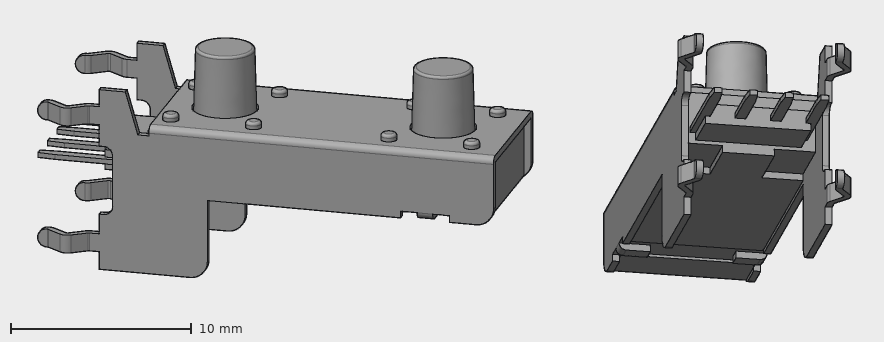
import cadquery as cq
import math

sheet = 0.4
length = 26.38
frame_width = 8.35
roof_top = 8.65
roof_start = 6.62
wall_start = 3.77
wall_bottom = 4.62
leg_end = 9.97
corner_radius = 1.0
half_width = frame_width / 2
inner_half_width = half_width - sheet
roof_bottom = roof_top - sheet

ear_top = 10.55
ear_top_end = 5.28
ear_foot = 6.0
relief_z = 8.1

notch_bottom = 3.25
notch_top = 7.23
notch_depth = 0.77
notch_radius = 0.5

clip_heights = (1.55, 9.02)
clip_width = 1.05
clip_tip = 0.25
clip_bend_start = 0.85
clip_bend_end = 3.17
clip_slope = 0.7
clip_peak_radius = 0.53
clip_foot_radius = 0.13

tab_x = 22.45
tab_width = 0.9
tab_reach = 1.37
window_width = 2.8

body_start = 6.45
body_end = 25.98
body_bottom = 4.85
recess_start = 21.24
recess_end = 23.4
step_width = 2.32
step_height = 0.4

block_width = 5.95
block_height = 1.15
pin_z = 6.05
pin_pitch = 2.0
pin_count = 4
pin_width = 0.6
pin_tip_width = 0.45
pin_thickness = 0.3
pin_taper_length = 1.0

button_centers = (9.87, 22.37)
button_top = 12.2
button_base_diameter = 3.5
button_top_diameter = 3.3
button_edge_radius = 0.15
button_hole_diameter = 3.7
rivet_diameter = 0.9
rivet_height = 0.4
rivet_edge_radius = 0.18
rivet_spacing_x = 4.75
rivet_spacing_y = 5.5


def box(x0, x1, y0, y1, z0, z1):
    """Box between two corners."""
    return cq.Workplane("XY").box(x1 - x0, y1 - y0, z1 - z0, centered=False).translate((x0, y0, z0))


def mirrored_pair(shape):
    """Shape together with its mirror image across the middle plane."""
    return shape.union(shape.mirror("XZ"))


def edge_at(solid, direction, point):
    """The edge along the given direction whose middle is nearest to the point."""
    return solid.edges(direction).edges(cq.selectors.NearestToPointSelector(point))


def side_wall():
    """Wall on the -Y side with its leg, ear, front notch and window for the tab."""
    plane = cq.Workplane("XZ", origin=(0, -inner_half_width, 0))
    lower_outline = [
        (wall_start, 0),
        (leg_end, 0),
        (leg_end, wall_bottom),
        (length, wall_bottom),
        (length, relief_z),
        (wall_start, relief_z),
    ]
    ear_outline = [
        (wall_start, relief_z),
        (ear_foot, relief_z),
        (ear_top_end, ear_top),
        (wall_start, ear_top),
    ]
    wall = plane.polyline(lower_outline).close().extrude(sheet)
    wall_middle = sheet / 2 - half_width
    for x, z in ((leg_end, 0), (length, wall_bottom)):
        wall = edge_at(wall, "|Y", (x, wall_middle, z)).fillet(corner_radius)
    ear = plane.polyline(ear_outline).close().extrude(sheet)
    notch = box(wall_start - notch_depth, wall_start + notch_depth,
                -half_width, -inner_half_width, notch_bottom, notch_top)
    notch = notch.edges("|Y and >X").fillet(notch_radius)
    window = box(tab_x - window_width / 2, tab_x + window_width / 2,
                 -half_width, -inner_half_width, wall_bottom, wall_bottom + sheet)
    return wall.union(ear).cut(notch).cut(window)


def clip(z):
    """Spring clip of constant thickness with a rounded outward bump and a round tip."""
    outer = -half_width
    inner = -inner_half_width
    peak_x = (clip_bend_start + clip_bend_end) / 2
    bend_shift = sheet * math.tan(math.atan(clip_slope) / 2)
    outer_rise = clip_slope * (peak_x - clip_bend_start)
    inner_rise = clip_slope * (peak_x - clip_bend_start - bend_shift)
    outline = [
        (clip_tip, outer),
        (clip_bend_start, outer),
        (peak_x, outer - outer_rise),
        (clip_bend_end, outer),
        (wall_start, outer),
        (wall_start, inner),
        (clip_bend_end - bend_shift, inner),
        (peak_x, inner - inner_rise),
        (clip_bend_start + bend_shift, inner),
        (clip_tip, inner),
    ]
    strip = (
        cq.Workplane("XY", origin=(0, 0, z - clip_width / 2))
        .polyline(outline)
        .close()
        .extrude(clip_width)
    )
    bends = [
        (peak_x, outer - outer_rise, clip_peak_radius),
        (peak_x, inner - inner_rise, clip_peak_radius - sheet),
        (clip_bend_start, outer, clip_foot_radius),
        (clip_bend_end, outer, clip_foot_radius),
        (clip_bend_start + bend_shift, inner, clip_foot_radius + sheet),
        (clip_bend_end - bend_shift, inner, clip_foot_radius + sheet),
    ]
    for x, y, radius in bends:
        strip = edge_at(strip, "|Z", (x, y, z)).fillet(radius)

    tip_radius = clip_width / 2
    silhouette = (
        cq.Workplane("XZ")
        .moveTo(wall_start, z - tip_radius)
        .lineTo(clip_tip + tip_radius, z - tip_radius)
        .threePointArc((clip_tip, z), (clip_tip + tip_radius, z + tip_radius))
        .lineTo(wall_start, z + tip_radius)
        .close()
        .extrude(frame_width)
    )
    return strip.intersect(silhouette)


def retaining_tab():
    """Tab bent from the bottom of the -Y wall to lie under the body."""
    tab = box(tab_x - tab_width / 2, tab_x + tab_width / 2,
              -half_width, tab_reach - inner_half_width, wall_bottom, wall_bottom + sheet)
    bend = cq.Workplane("YZ").circle(sheet).extrude(length).translate(
        (0, -inner_half_width, wall_bottom + sheet))
    flat = box(0, length, -inner_half_width, 0, wall_bottom, wall_bottom + sheet)
    return tab.intersect(bend.union(flat))


def roof():
    """Flat roof with rounded bends along both walls and a hole around each button."""
    plate = box(roof_start, length, -half_width, half_width, roof_bottom - sheet, roof_top)
    plate = plate.edges("|X and >Z").fillet(sheet)
    inside = box(roof_start, length, -inner_half_width, inner_half_width, roof_bottom - sheet, roof_bottom)
    holes = (
        cq.Workplane("XY", origin=(0, 0, roof_bottom))
        .pushPoints([(x, 0) for x in button_centers])
        .circle(button_hole_diameter / 2)
        .extrude(sheet)
    )
    return plate.cut(inside).cut(holes)


def body():
    """Plastic body between the walls, recessed over the tabs and stepped at its front corners."""
    block = box(body_start, body_end, -inner_half_width, inner_half_width, body_bottom, roof_bottom)
    recess = box(recess_start, recess_end, -inner_half_width, inner_half_width,
                 body_bottom, wall_bottom + sheet)
    step = box(body_start, leg_end, -inner_half_width, step_width - inner_half_width,
               body_bottom, body_bottom + step_height)
    return block.cut(recess).cut(mirrored_pair(step))


def terminal():
    """Terminal block with a row of flat pins tapered towards their tips."""
    block = box(wall_start, body_start, -block_width / 2, block_width / 2,
                pin_z - block_height / 2, pin_z + block_height / 2)
    for index in range(pin_count):
        y = (index - (pin_count - 1) / 2) * pin_pitch
        half_outline = [
            (0, pin_tip_width / 2),
            (pin_taper_length, pin_width / 2),
            (body_start, pin_width / 2),
        ]
        outline = half_outline + [(px, -py) for px, py in reversed(half_outline)]
        pin = (
            cq.Workplane("XY", origin=(0, y, pin_z - pin_thickness / 2))
            .polyline(outline)
            .close()
            .extrude(pin_thickness)
        )
        block = block.union(pin)
    return block


def button(x):
    """Slightly tapered push button standing on the body."""
    return (
        cq.Workplane("XY", origin=(x, 0, roof_bottom))
        .circle(button_base_diameter / 2)
        .workplane(offset=button_top - roof_bottom)
        .circle(button_top_diameter / 2)
        .loft()
        .faces(">Z")
        .edges()
        .fillet(button_edge_radius)
    )


def rivets(x):
    """Four round-headed rivets around the button at x."""
    return (
        cq.Workplane("XY", origin=(x, 0, roof_top))
        .rarray(rivet_spacing_x, rivet_spacing_y, 2, 2)
        .circle(rivet_diameter / 2)
        .extrude(rivet_height)
        .faces(">Z")
        .edges()
        .fillet(rivet_edge_radius)
    )


side = side_wall().union(retaining_tab())
for clip_z in clip_heights:
    side = side.union(clip(clip_z))

result = roof().union(mirrored_pair(side)).union(body()).union(terminal())
for button_x in button_centers:
    result = result.union(button(button_x)).union(rivets(button_x))